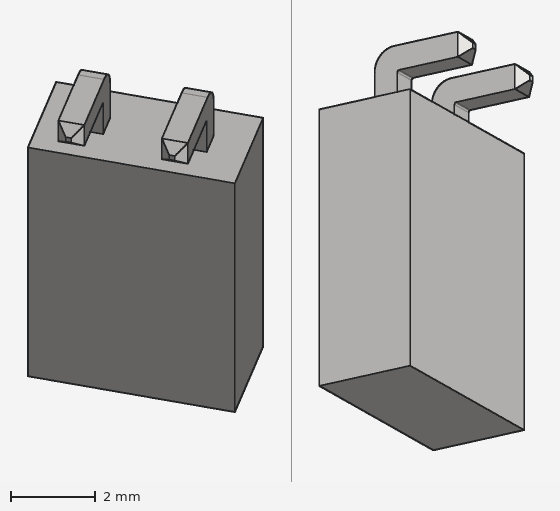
import cadquery as cq

total_height = 8.61
pitch = 2.54
pin_count = 2

housing_width = pin_count * pitch
housing_depth = pitch
housing_height = 7.0

pin_size = 0.64
outer_bend_radius = 0.55
inner_bend_radius = 0.05
pin_reach = 2.265
tip_length = 0.26
tip_size = 0.14


def make_housing():
    """Block standing on Z = 0, centred on the Z axis."""
    return cq.Workplane("XY").box(
        housing_width, housing_depth, housing_height, centered=(True, True, False)
    )


def make_pin(x):
    """Right-angle pin that stands on the housing top and ends in a tapered tip."""
    half = pin_size / 2
    arm_bottom = total_height - pin_size
    arm_end = -(pin_reach - tip_length)
    bent_bar = (
        cq.Workplane("YZ", origin=(x - half, 0, 0))
        .moveTo(half, housing_height)
        .lineTo(half, total_height - outer_bend_radius)
        .radiusArc((half - outer_bend_radius, total_height), -outer_bend_radius)
        .lineTo(arm_end, total_height)
        .lineTo(arm_end, arm_bottom)
        .lineTo(-half - inner_bend_radius, arm_bottom)
        .radiusArc((-half, arm_bottom - inner_bend_radius), inner_bend_radius)
        .lineTo(-half, housing_height)
        .close()
        .extrude(pin_size)
    )
    tip = (
        cq.Workplane("XZ", origin=(x, arm_end, total_height - half))
        .rect(pin_size, pin_size)
        .workplane(offset=tip_length)
        .rect(tip_size, tip_size)
        .loft(ruled=True)
    )
    return bent_bar.union(tip)


housing = make_housing()
pins = []
for index in range(pin_count):
    pin_x = (index - (pin_count - 1) / 2) * pitch
    pins.append(make_pin(pin_x).val())

result = cq.Compound.makeCompound([housing.val(), *pins])